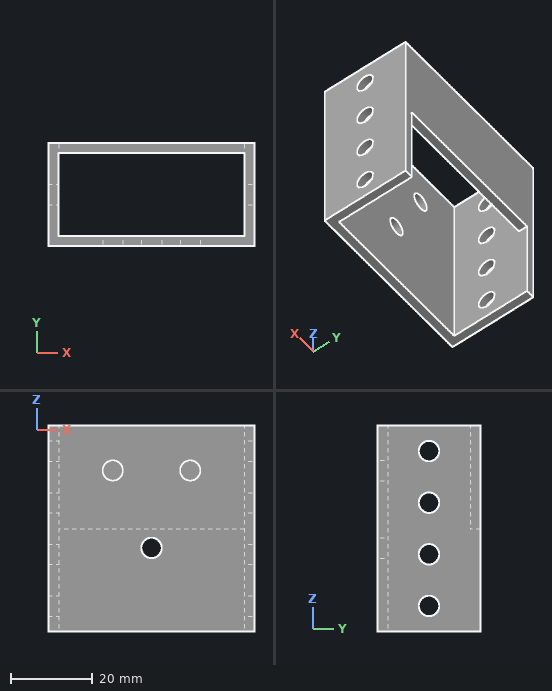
import cadquery as cq

width = 50.8
depth = width / 2
height = 50.8
wall = 2.55
hole_diameter = 5.0

side_hole_count = 4
side_hole_pitch = height / side_hole_count

pair_spacing = 19.05
pair_height = height / 2 - 11.1
lower_hole_height = pair_height - pair_spacing

opening_width = width - 2 * wall
opening_height = height / 2


def make_tube():
    outer = cq.Workplane("XY").box(width, depth, height)
    opening = cq.Workplane("XY").box(width - 2 * wall, depth - 2 * wall, height)
    return outer.cut(opening)


def hole_along_x(z):
    drill = cq.Workplane("YZ", origin=(-width / 2, 0, z))
    return drill.circle(hole_diameter / 2).extrude(width)


def front_hole(x, z):
    drill = cq.Workplane("XZ", origin=(x, -depth / 2, z))
    return drill.circle(hole_diameter / 2).extrude(-wall)


def back_opening():
    block = cq.Workplane("XY").box(opening_width, wall, opening_height)
    return block.translate((0, (depth - wall) / 2, (opening_height - height) / 2))


result = make_tube().cut(back_opening())

for index in range(side_hole_count):
    z = (index - (side_hole_count - 1) / 2) * side_hole_pitch
    result = result.cut(hole_along_x(z))

for side in (-1, 1):
    result = result.cut(front_hole(side * pair_spacing / 2, pair_height))

result = result.cut(front_hole(0, lower_hole_height))